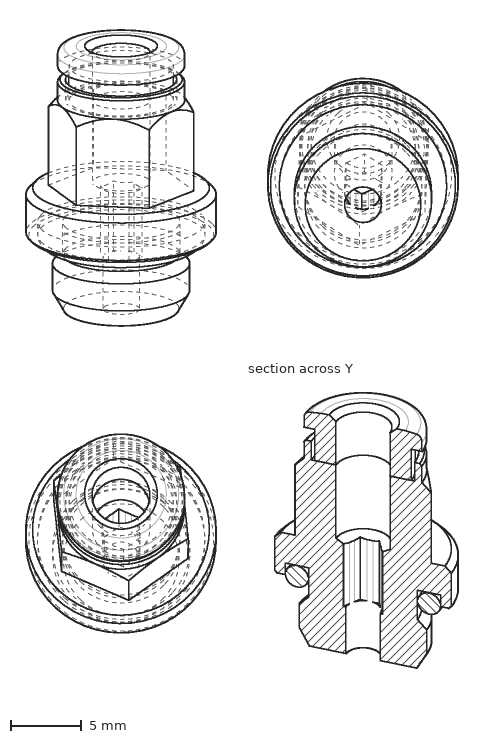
import cadquery as cq
import math

total_height = 19.5

thread_diameter = 9.73
thread_tip_diameter = 8.19
thread_tip_height = 1.36
thread_top = 3.37
neck_diameter = 8.3
neck_bottom = 4.08

flange_diameter = 13.5
flange_bottom = 5.5
flange_top = 8.97
flange_top_chamfer = 0.49
flange_bottom_chamfer = 0.2

hex_across_flats = 9.0
hex_top = 15.48
hex_chamfer_angle = 45.0
collar_diameter = hex_across_flats
collar_top = 17.02
collar_chamfer = 0.18

sleeve_hole_diameter = 7.88
sleeve_hole_floor = hex_top
through_diameter = 2.6
key_across_flats = 2.55
key_corner_diameter = key_across_flats / math.cos(math.pi / 6)
key_floor = 3.9
tube_bore_diameter = 4.1
tube_cone_bottom = 8.97
tube_cone_half_angle = 60.0
tube_cone_slope = 1 / math.tan(math.radians(tube_cone_half_angle))
tube_cone_top = tube_cone_bottom + tube_cone_slope * (tube_bore_diameter - through_diameter) / 2

seal_diameter = 11.85
seal_bottom = 4.68
seal_section_diameter = (seal_diameter - neck_diameter) / 2
seal_top = seal_bottom + seal_section_diameter

sleeve_stem_diameter = 7.4
sleeve_cap_diameter = 9.0
sleeve_cap_bottom = 18.02
sleeve_rim_diameter = 8.15
sleeve_rim_drop = 0.1
sleeve_round_drop = 0.62
sleeve_face_diameter = 6.4
sleeve_mouth_diameter = 5.15
sleeve_mouth_depth = 0.45


def cylinder(diameter, bottom, top):
    """Upright cylinder on the Z axis."""
    return cq.Workplane("XY").workplane(offset=bottom).circle(diameter / 2).extrude(top - bottom)


def cone(bottom_diameter, top_diameter, bottom, top):
    """Upright truncated cone on the Z axis."""
    direction = cq.Vector(0, 0, 1)
    base = cq.Vector(0, 0, bottom)
    return cq.Workplane(
        cq.Solid.makeCone(bottom_diameter / 2, top_diameter / 2, top - bottom, base, direction)
    )


def hexagon(across_flats, bottom, top):
    """Hexagonal prism with corners on the X axis."""
    corner_diameter = across_flats / math.cos(math.pi / 6)
    return cq.Workplane("XY").workplane(offset=bottom).polygon(6, corner_diameter).extrude(top - bottom)


def make_threaded_end():
    tip = cone(thread_tip_diameter, thread_diameter, 0, thread_tip_height)
    thread = cylinder(thread_diameter, thread_tip_height, thread_top)
    shoulder = cone(thread_diameter, neck_diameter, thread_top, neck_bottom)
    neck = cylinder(neck_diameter, neck_bottom, flange_bottom)
    return tip.union(thread).union(shoulder).union(neck)


def make_flange():
    flange = cylinder(flange_diameter, flange_bottom, flange_top)
    flange = flange.faces(">Z").chamfer(flange_top_chamfer)
    return flange.faces("<Z").chamfer(flange_bottom_chamfer)


def make_chamfered_hexagon():
    """Hexagon whose upper corners are turned off by a cone that ends at the collar."""
    height = hex_top - flange_top
    spread = 2 * height / math.tan(math.radians(hex_chamfer_angle))
    envelope = cone(collar_diameter + spread, collar_diameter, flange_top, hex_top)
    return hexagon(hex_across_flats, flange_top, hex_top).intersect(envelope)


def make_collar():
    return cylinder(collar_diameter, hex_top, collar_top).faces(">Z").chamfer(collar_chamfer)


def make_housing_bore():
    """Stepped bore: sleeve hole, tube bore, conical seat, hexagon key socket, round passage."""
    sleeve_hole = cylinder(sleeve_hole_diameter, sleeve_hole_floor, collar_top)
    tube_bore = cylinder(tube_bore_diameter, tube_cone_top, sleeve_hole_floor)
    seat = cone(through_diameter, tube_bore_diameter, tube_cone_bottom, tube_cone_top)
    key_top = tube_cone_bottom + tube_cone_slope * (key_corner_diameter - through_diameter) / 2
    key_socket = hexagon(key_across_flats, key_floor, key_top)
    passage = cylinder(through_diameter, 0, tube_cone_bottom)
    return sleeve_hole.union(tube_bore).union(seat).union(key_socket).union(passage)


def make_seal_recess():
    """Ring-shaped pocket between the neck and the outside of the O-ring."""
    recess = cylinder(seal_diameter, flange_bottom, seal_top)
    return recess.cut(cylinder(neck_diameter, flange_bottom, seal_top))


def make_housing():
    body = make_threaded_end().union(make_flange()).union(make_chamfered_hexagon()).union(make_collar())
    return body.cut(make_housing_bore()).cut(make_seal_recess())


def make_seal():
    """O-ring that touches the neck, the wall and the floor of its recess."""
    center_radius = (neck_diameter + seal_section_diameter) / 2
    center_height = (seal_bottom + seal_top) / 2
    section_radius = seal_section_diameter / 2
    return cq.Workplane(
        cq.Solid.makeTorus(center_radius, section_radius, cq.Vector(0, 0, center_height))
    )


def make_sleeve():
    """Capped sleeve standing on the hole floor, with a rounded, slightly domed cap and a conical mouth."""
    bore_radius = tube_bore_diameter / 2
    stem_radius = sleeve_stem_diameter / 2
    cap_radius = sleeve_cap_diameter / 2
    rim_radius = sleeve_rim_diameter / 2
    rim_height = total_height - sleeve_rim_drop
    round_start = total_height - sleeve_round_drop
    return (
        cq.Workplane("XZ")
        .moveTo(bore_radius, sleeve_hole_floor)
        .lineTo(stem_radius, sleeve_hole_floor)
        .lineTo(stem_radius, sleeve_cap_bottom)
        .lineTo(cap_radius, sleeve_cap_bottom)
        .lineTo(cap_radius, round_start)
        .tangentArcPoint((rim_radius, rim_height), relative=False)
        .lineTo(sleeve_face_diameter / 2, total_height)
        .lineTo(sleeve_mouth_diameter / 2, total_height)
        .lineTo(bore_radius, total_height - sleeve_mouth_depth)
        .close()
        .revolve(360, (0, 0, 0), (0, 1, 0))
    )


housing = make_housing()
seal = make_seal()
sleeve = make_sleeve()

result = cq.Compound.makeCompound([housing.val(), seal.val(), sleeve.val()])